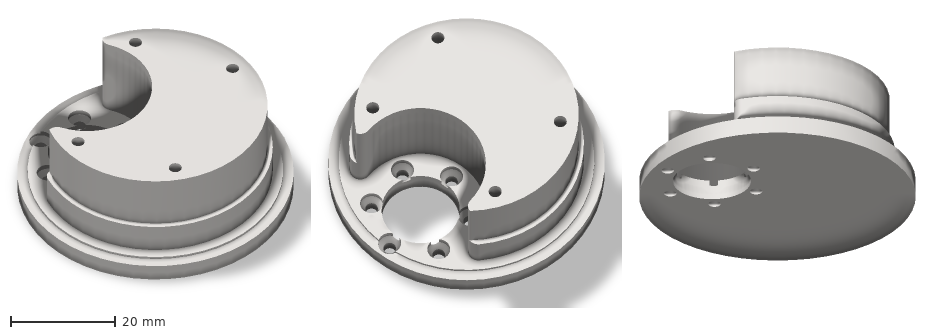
import cadquery as cq
import math

flange_radius = 26.5
lip_radius = 24.5
seat_radius = 22.5
body_radius = 21.5
flange_top = 3.5
lip_top = 4.0
seat_top = 10.0
total_height = 21.0

bore_x = -14.1
bore_radius = 7.5
recess_radius = 12.5
horn_radius = 2.0
body_tip_radius = 0.3

screw_count = 6
screw_circle_radius = 9.5
screw_radius = 1.2
screw_head_radius = 2.2
screw_head_depth = 1.0
screw_cone_depth = screw_head_radius - screw_radius

top_hole_radius = 1.25
top_hole_depth = 10.0
top_hole_x = 10.0
top_hole_y = 15.0
drill_tip_angle = 118.0


def disc(radius, bottom, top):
    """Cylinder on the Z axis between two heights."""
    return cq.Workplane("XY").workplane(offset=bottom).circle(radius).extrude(top - bottom)


def crescent_outline():
    """Seat circle less the recess, with a round horn tangent to both arcs at each end."""
    from_axis = seat_radius - horn_radius
    from_bore = recess_radius + horn_radius
    horn_x = (from_axis**2 - from_bore**2 + bore_x**2) / (2 * bore_x)
    horn_y = math.sqrt(from_axis**2 - horn_x**2)

    outer_ratio = seat_radius / from_axis
    outer_x = horn_x * outer_ratio
    outer_y = horn_y * outer_ratio
    inner_ratio = recess_radius / from_bore
    inner_x = bore_x + (horn_x - bore_x) * inner_ratio
    inner_y = horn_y * inner_ratio
    tip_x = horn_x - horn_radius

    return (
        cq.Workplane("XY")
        .workplane(offset=lip_top)
        .moveTo(outer_x, outer_y)
        .threePointArc((seat_radius, 0), (outer_x, -outer_y))
        .threePointArc((tip_x, -horn_y), (inner_x, -inner_y))
        .threePointArc((bore_x + recess_radius, 0), (inner_x, inner_y))
        .threePointArc((tip_x, horn_y), (outer_x, outer_y))
        .close()
    )


def make_housing():
    """Flange and lip carrying the stepped crescent."""
    crescent = crescent_outline().extrude(total_height - lip_top)
    seat = crescent.intersect(disc(seat_radius, lip_top, seat_top))
    body = crescent.intersect(disc(body_radius, seat_top, total_height))
    body = body.edges("|Z").edges("<X").fillet(body_tip_radius)
    base = disc(flange_radius, 0, flange_top).union(disc(lip_radius, flange_top, lip_top))
    return base.union(seat).union(body)


def screw_cutter():
    """Through hole with a conical seat below a cylindrical head recess, on the Z axis."""
    head_bottom = lip_top - screw_head_depth
    cone_bottom = head_bottom - screw_cone_depth
    profile = [
        (0, 0),
        (screw_radius, 0),
        (screw_radius, cone_bottom),
        (screw_head_radius, head_bottom),
        (screw_head_radius, lip_top),
        (0, lip_top),
    ]
    return cq.Workplane("XZ").polyline(profile).close().revolve(360, (0, 0), (0, 1))


def top_hole_cutter():
    """Blind hole with a drill-point bottom, on the Z axis."""
    shoulder = total_height - top_hole_depth
    tip = shoulder - top_hole_radius / math.tan(math.radians(drill_tip_angle / 2))
    profile = [
        (0, tip),
        (top_hole_radius, shoulder),
        (top_hole_radius, total_height),
        (0, total_height),
    ]
    return cq.Workplane("XZ").polyline(profile).close().revolve(360, (0, 0), (0, 1))


result = make_housing()

result = result.cut(disc(bore_radius, 0, lip_top).translate((bore_x, 0, 0)))

for index in range(screw_count):
    angle = 2 * math.pi * index / screw_count
    screw_x = bore_x + screw_circle_radius * math.cos(angle)
    screw_y = screw_circle_radius * math.sin(angle)
    result = result.cut(screw_cutter().translate((screw_x, screw_y, 0)))

for side_x in (-1, 1):
    for side_y in (-1, 1):
        result = result.cut(top_hole_cutter().translate((side_x * top_hole_x, side_y * top_hole_y, 0)))